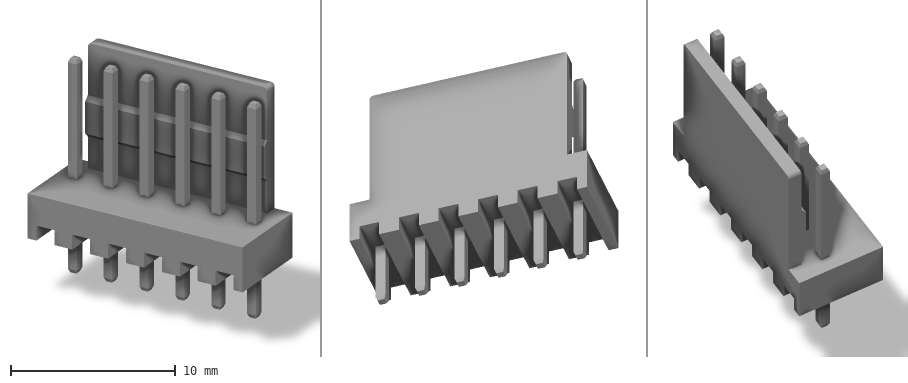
import cadquery as cq
import math


way_count = 6
row_length = 15.24
pitch = row_length / way_count

housing_depth = 5.9
housing_height = 3.0
channel_width = pitch / 2
channel_height = 1.0

wall_thickness = 0.9
wall_height = 8.4
wall_end_inset = pitch / 2
wall_corner_radius = 0.26
wall_length = row_length - 2 * wall_end_inset

ridge_projection = 0.3
ridge_height = 2.75
ridge_middle_z = 3.52

pin_width = 0.64
pin_behind_distance = 2.4
pin_above_housing = 8.0
pin_below_housing = 3.3
tip_height = 0.26
tip_inset = 0.1


def housing_segment(center_x):
    """Housing block with a channel along Y through its underside."""
    block = (
        cq.Workplane("XY")
        .box(pitch, housing_depth, housing_height, centered=(True, False, False))
        .translate((center_x, -housing_depth, -housing_height))
    )
    channel = (
        cq.Workplane("XY")
        .box(channel_width, housing_depth, channel_height, centered=(True, False, False))
        .translate((center_x, -housing_depth, -housing_height))
    )
    return block.cut(channel)


def lock_wall():
    """Full-length wall with its latch ridge and rounded upper end corners."""
    ridge_bottom = ridge_middle_z - ridge_height / 2
    ridge_top = ridge_middle_z + ridge_height / 2
    ridge_face_y = -wall_thickness - ridge_projection
    profile = [
        (0, 0),
        (-wall_thickness, 0),
        (-wall_thickness, ridge_bottom),
        (ridge_face_y, ridge_bottom + ridge_projection),
        (ridge_face_y, ridge_top - ridge_projection),
        (-wall_thickness, ridge_top),
        (-wall_thickness, wall_height),
        (0, wall_height),
    ]
    wall = cq.Workplane("YZ").polyline(profile).close().extrude(wall_length / 2, both=True)
    return wall.faces(">Z").edges("|Y").fillet(wall_corner_radius)


def wall_stretch(wall, center_x):
    """The part of the wall that stands on one housing segment."""
    segment_space = (
        cq.Workplane("XY")
        .box(pitch, housing_depth, wall_height, centered=(True, False, False))
        .translate((center_x, -housing_depth, 0))
    )
    return wall.intersect(segment_space)


def pin(center_x):
    """Square pin with a tapered tip at both ends."""
    shank_bottom = -housing_height - pin_below_housing + tip_height
    shank_top = pin_above_housing - tip_height
    tip_taper = math.degrees(math.atan(tip_inset / tip_height))
    axis_y = -pin_behind_distance
    return (
        cq.Workplane("XY", origin=(center_x, axis_y, shank_bottom))
        .rect(pin_width, pin_width)
        .extrude(shank_top - shank_bottom)
        .faces(">Z")
        .workplane()
        .rect(pin_width, pin_width)
        .extrude(tip_height, taper=tip_taper)
        .faces("<Z")
        .workplane()
        .rect(pin_width, pin_width)
        .extrude(tip_height, taper=tip_taper)
    )


def header_way(wall, center_x):
    """One way of the header as a single solid."""
    segment_with_wall = housing_segment(center_x).union(wall_stretch(wall, center_x))
    return segment_with_wall.union(pin(center_x)).solids()


full_wall = lock_wall()
ways = []
for index in range(way_count):
    way_x = (index - (way_count - 1) / 2) * pitch
    ways.append(header_way(full_wall, way_x).val())

result = cq.Compound.makeCompound(ways)